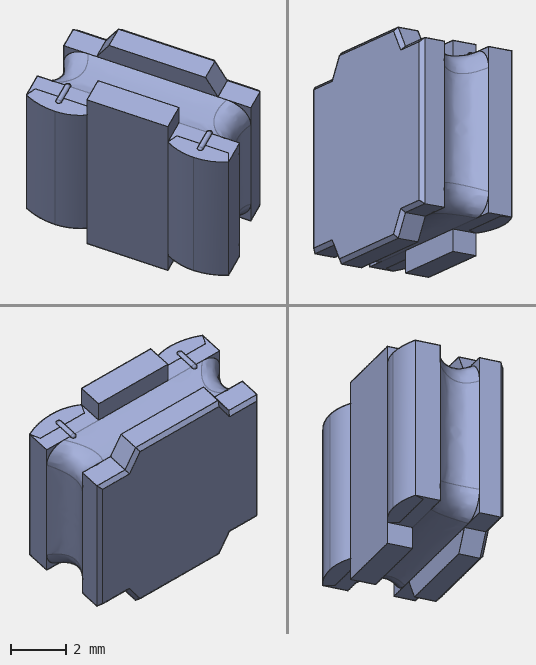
import cadquery as cq
import math

length = 8.0
height = 8.0
depth = 4.0

flange_thickness = 1.0
solder_crown = 0.3
back_y = depth / 2
front_y = -depth / 2 + solder_crown
back_inner_y = back_y - flange_thickness
front_inner_y = front_y + flange_thickness
flange_half_height = 3.15
tab_height = height / 2 - flange_half_height

front_half_length = length / 2
front_tab_half_width = 1.6

back_half_length = 3.7
back_tab_root_half_width = 2.4
back_tab_slope = math.radians(60)
back_tab_tip_half_width = back_tab_root_half_width - tab_height / math.tan(back_tab_slope)
back_chamfer = 0.15

waist_half_length = 3.5
waist_half_height = 2.98
back_corner_radius = 0.95
front_corner_radius = 0.8
middle_corner_radius = (back_corner_radius + front_corner_radius) / 2

channel_depth = 0.4
channel_inset = 0.18
crown_x = 2.74

wire_radius = 0.118
wire_x = 2.8
wire_z = 3.1
wire_setback = 0.2
wire_straight = 0.81
wire_front_y = front_y + wire_setback
wire_back_y = wire_front_y + wire_straight

SIDES = (-1, 1)


def extrude_along_y(outline, y_start, y_end):
    """Extrude an XZ outline from y_start to y_end."""
    sketch = cq.Workplane("XZ", origin=(0, y_end, 0))
    return sketch.polyline(outline).close().extrude(y_end - y_start)


def tabbed_outline(half_length, tab_root, tab_tip):
    """Rectangle with a centred tab on its top and bottom edges."""
    upper = [
        (half_length, flange_half_height),
        (tab_root, flange_half_height),
        (tab_tip, height / 2),
        (-tab_tip, height / 2),
        (-tab_root, flange_half_height),
        (-half_length, flange_half_height),
    ]
    lower = [(-x, -z) for x, z in upper]
    return upper + lower


def make_front_flange():
    outline = tabbed_outline(front_half_length, front_tab_half_width, front_tab_half_width)
    return extrude_along_y(outline, front_y, front_inner_y)


def make_back_flange():
    outline = tabbed_outline(back_half_length, back_tab_root_half_width, back_tab_tip_half_width)
    flange = extrude_along_y(outline, back_inner_y, back_y)
    return flange.faces(">Y").chamfer(back_chamfer)


def waist_section(y, half_length, half_height, corner_radius):
    """Rounded rectangle across the waist at the given Y."""
    outline = cq.Sketch().rect(2 * half_length, 2 * half_height)
    outline = outline.vertices().fillet(corner_radius)
    return outline.moved(cq.Location(cq.Vector(0, 0, -y)))


def make_waist():
    middle_y = (back_inner_y + front_inner_y) / 2
    back = waist_section(back_inner_y, back_half_length, flange_half_height, back_corner_radius)
    middle = waist_section(middle_y, waist_half_length, waist_half_height, middle_corner_radius)
    front = waist_section(front_inner_y, front_half_length, flange_half_height, front_corner_radius)
    return cq.Workplane("XZ").placeSketch(back, middle, front).loft()


def make_terminal(side):
    """Solder bar filling one channel, with a crowned front face."""
    outer = front_half_length
    inner = front_tab_half_width
    crown_y = front_y - solder_crown

    def crown_arc_point(edge_x):
        """Middle of the arc that leaves the crown line tangent to X and ends at edge_x."""
        run = abs(edge_x - crown_x)
        radius = (run ** 2 + solder_crown ** 2) / (2 * solder_crown)
        half_angle = math.asin(run / radius) / 2
        direction = math.copysign(1, edge_x - crown_x)
        x = crown_x + direction * radius * math.sin(half_angle)
        return side * x, crown_y + radius * (1 - math.cos(half_angle))

    return (
        cq.Workplane("XY", origin=(0, 0, -flange_half_height))
        .moveTo(side * outer, front_y)
        .lineTo(side * (outer - channel_inset), front_y + channel_depth)
        .lineTo(side * (inner + channel_inset), front_y + channel_depth)
        .lineTo(side * inner, front_y)
        .threePointArc(crown_arc_point(inner), (side * crown_x, crown_y))
        .threePointArc(crown_arc_point(outer), (side * outer, front_y))
        .close()
        .extrude(2 * flange_half_height)
    )


def make_wire_end(side):
    """Short round wire along Y with hemispherical ends."""
    return (
        cq.Workplane("YZ", origin=(side * wire_x, 0, wire_z))
        .moveTo(wire_front_y - wire_radius, 0)
        .radiusArc((wire_front_y, wire_radius), wire_radius)
        .lineTo(wire_back_y, wire_radius)
        .radiusArc((wire_back_y + wire_radius, 0), wire_radius)
        .close()
        .revolve(360, (0, 0, 0), (1, 0, 0))
    )


wire_ends = [make_wire_end(side) for side in SIDES]

terminals = [make_terminal(side).cut(wire) for side, wire in zip(SIDES, wire_ends)]

core = make_back_flange().union(make_waist()).union(make_front_flange())
for fitted_body in terminals + wire_ends:
    core = core.cut(fitted_body)

result = cq.Compound.makeCompound(
    [
        *core.solids().vals(),
        *[terminal.solids().val() for terminal in terminals],
        *[wire.val() for wire in wire_ends],
    ]
)